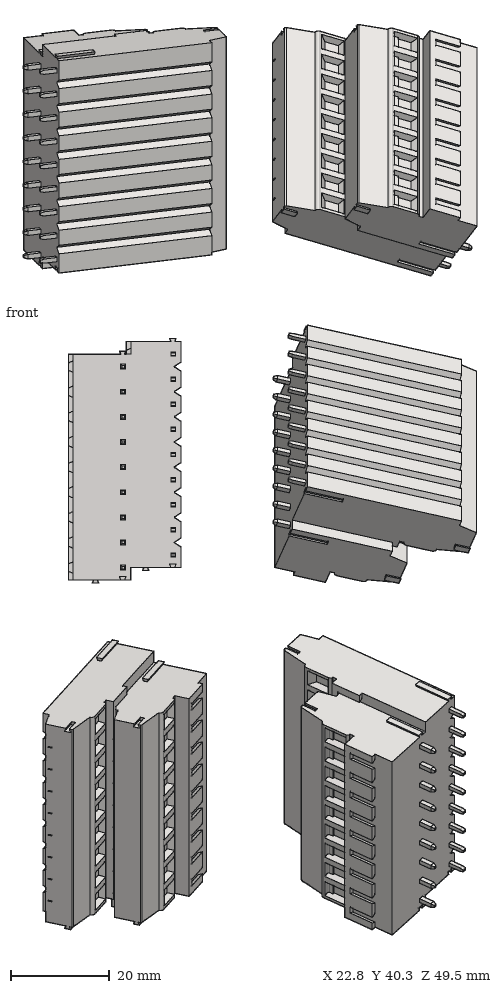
import cadquery as cq
import math


POLES = 9
OVERALL_HEIGHT = 49.45
BLOCK_HEIGHT = 45.7
PITCH = BLOCK_HEIGHT / POLES
ROW_SHIFT_Z = PITCH / 2
RIB_DEPTH = (OVERALL_HEIGHT - BLOCK_HEIGHT - ROW_SHIFT_Z) / 2

REAR_RIGHT_X = 22.8
REAR_TOP_Y = 36.6
ROW_STEP_X = 10.15
ROW_STEP_Y = 11.45
FRONT_RIGHT_X = REAR_RIGHT_X - ROW_STEP_X
FRONT_TOP_Y = REAR_TOP_Y - ROW_STEP_Y

FRONT_PAD_X = 0.0
REAR_PAD_X = 11.65
PAD_THICKNESS = 1.0

SHOULDER_LEFT = 10.15
SHOULDER_TOP_RADIUS = 0.75
SHOULDER_TOP_DOWN = 6.25
SHOULDER_BOTTOM_DOWN = 13.1
UNDERCUT_WIDTH = 0.4
UNDERCUT_DROP = 0.6
UNDERCUT_MID_WIDTH = 0.15
NECK_LEFT = 9.5
CREST_RIGHT = 2.3
CREST_LEFT = 8.1
CREST_BEVEL_WIDTH = 0.2
CREST_BEVEL_HEIGHT = 0.3
PAD_TOP_DOWN = 14.05
PAD_BOTTOM_DOWN = 20.85
BACK_SHELF_WIDTH = 1.4
BACK_SHELF_DOWN = 3.9

POCKET_HALF_HEIGHT = 1.85
POCKET_FLOOR_HALF_HEIGHT = 1.3
POCKET_DEPTH = 1.3
FRONT_POCKET_MOUTH = (12.6, 17.8)
FRONT_POCKET_FLOOR = (13.5, 16.45)
FRONT_LEDGE_END_Y = 17.65
FRONT_LEDGE_FILLET = 0.4
FRONT_LEDGE_DEPTH = 1.0
REAR_POCKET_MOUTH = (24.25, 29.3)
REAR_POCKET_FLOOR = (24.95, 27.95)

PAD_SLOT_TOP_DOWN = 15.4
PAD_SLOT_MOUTH = 1.5
PAD_SLOT_FLOOR = 2.35

DOVETAIL_TIP = 1.35
DOVETAIL_NECK = 0.8
SLOT_DEPTH = 0.75
BASE_RIB_LEFT = 1.7
BASE_RIB_LENGTH = 8.05
TOP_RIB_LEFT = 7.15
TOP_RIB_LENGTH = 3.05

NOTCH_DEPTH = 1.4
NOTCH_WIDTH = 1.85

PIN_LENGTH = 3.5
PIN_TIP_LENGTH = 0.75
PIN_LEFT = 1.6
PIN_ROOT = 1.0
FRONT_PIN = 1.0
REAR_PIN = 0.9
PIN_TIP_SIZE = 0.5

MARK_THICKNESS = 0.1
REAR_MARK_WIDTH = 0.75
REAR_MARK_RISE = 0.2
REAR_MARK_LEFT = 3.35
FRONT_MARK_WIDTH = 0.5
FRONT_MARK_LENGTH = 1.05
FRONT_MARK_LEFT = 2.0
FRONT_MARK_DOWN = 1.25


def pole_heights(bottom_z):
    return [bottom_z + (i + 0.5) * PITCH for i in range(POLES)]


def gap_heights(bottom_z):
    return [bottom_z + i * PITCH for i in range(1, POLES)]


def housing(right_x, top_y, pad_x, bottom_z):
    """Plain block: rounded shoulder and undercut on the left, pad below, shelf on the right."""
    shoulder_x = right_x - SHOULDER_LEFT
    neck_x = right_x - NECK_LEFT
    crest_left_x = right_x - CREST_LEFT
    shelf_x = right_x - BACK_SHELF_WIDTH
    shelf_y = top_y - BACK_SHELF_DOWN
    shoulder_top = top_y - SHOULDER_TOP_DOWN
    shoulder_bottom = top_y - SHOULDER_BOTTOM_DOWN
    pad_top = top_y - PAD_TOP_DOWN
    pad_bottom = top_y - PAD_BOTTOM_DOWN
    base_x = pad_x + PAD_THICKNESS

    top_r = SHOULDER_TOP_RADIUS
    top_sag = top_r * (1 - math.sqrt(0.5))
    return (
        cq.Workplane("XY", origin=(0, 0, bottom_z))
        .moveTo(base_x, 0)
        .lineTo(right_x, 0)
        .lineTo(right_x, shelf_y)
        .lineTo(shelf_x, shelf_y)
        .lineTo(right_x - CREST_RIGHT, top_y)
        .lineTo(crest_left_x, top_y)
        .lineTo(crest_left_x - CREST_BEVEL_WIDTH, top_y - CREST_BEVEL_HEIGHT)
        .lineTo(shoulder_x + top_r, shoulder_top)
        .threePointArc((shoulder_x + top_sag, shoulder_top - top_sag), (shoulder_x, shoulder_top - top_r))
        .lineTo(shoulder_x, shoulder_bottom + UNDERCUT_DROP)
        .threePointArc(
            (shoulder_x + UNDERCUT_MID_WIDTH, shoulder_bottom + UNDERCUT_DROP / 2),
            (shoulder_x + UNDERCUT_WIDTH, shoulder_bottom),
        )
        .lineTo(neck_x, shoulder_bottom)
        .lineTo(neck_x, pad_top)
        .lineTo(pad_x, pad_top)
        .lineTo(pad_x, pad_bottom)
        .lineTo(base_x, pad_bottom)
        .close()
        .extrude(BLOCK_HEIGHT)
    )


def tapered_cut(face_x, depth, mouth, floor):
    """Solid tapering along +X; mouth and floor are (low y, high y, half height)."""
    def section(x, low_y, high_y, half):
        corners = [(low_y, -half), (high_y, -half), (high_y, half), (low_y, half)]
        return cq.Wire.makePolygon([cq.Vector(x, y, z) for y, z in corners], close=True)

    solid = cq.Solid.makeLoft([section(face_x, *mouth), section(face_x + depth, *floor)], True)
    return cq.Workplane("XY").add(solid)


def ledged_pocket(face_x):
    """Front wire pocket: tapers to a ledge, then on to a floor shorter than the ledge."""
    def at_ledge(mouth_size, floor_size):
        return mouth_size + (floor_size - mouth_size) * FRONT_LEDGE_DEPTH / POCKET_DEPTH

    ledge_low_y = at_ledge(FRONT_POCKET_MOUTH[0], FRONT_POCKET_FLOOR[0])
    ledge_half = at_ledge(POCKET_HALF_HEIGHT, POCKET_FLOOR_HALF_HEIGHT)
    upper = tapered_cut(
        face_x,
        FRONT_LEDGE_DEPTH,
        (*FRONT_POCKET_MOUTH, POCKET_HALF_HEIGHT),
        (ledge_low_y, FRONT_LEDGE_END_Y, ledge_half),
    )
    upper = upper.edges("|Z").edges(">X").edges(">Y").fillet(FRONT_LEDGE_FILLET)
    lower = tapered_cut(
        face_x + FRONT_LEDGE_DEPTH,
        POCKET_DEPTH - FRONT_LEDGE_DEPTH,
        (ledge_low_y, FRONT_POCKET_FLOOR[1], ledge_half),
        (*FRONT_POCKET_FLOOR, POCKET_FLOOR_HALF_HEIGHT),
    )
    return upper.union(lower)


def dovetail_bar(narrow, wide, height, length):
    """Bar along +Y from the origin, narrow side on z = 0, wide side on z = height."""
    outline = [(-narrow / 2, 0), (narrow / 2, 0), (wide / 2, height), (-wide / 2, height)]
    return cq.Workplane("XZ").polyline(outline).close().extrude(-length)


def add_end_dovetails(block, right_x, top_y, bottom_z):
    top_z = bottom_z + BLOCK_HEIGHT
    base_at = (right_x - BASE_RIB_LEFT, 0)
    top_at = (right_x - TOP_RIB_LEFT, top_y - TOP_RIB_LENGTH)
    rib = dovetail_bar(DOVETAIL_NECK, DOVETAIL_TIP, RIB_DEPTH, BASE_RIB_LENGTH)
    slot = dovetail_bar(DOVETAIL_NECK, DOVETAIL_TIP, SLOT_DEPTH, BASE_RIB_LENGTH)
    block = block.union(rib.translate((*base_at, top_z)))
    block = block.cut(slot.translate((*base_at, bottom_z)))

    rib = dovetail_bar(DOVETAIL_NECK, DOVETAIL_TIP, -RIB_DEPTH, TOP_RIB_LENGTH)
    slot = dovetail_bar(DOVETAIL_NECK, DOVETAIL_TIP, -SLOT_DEPTH, TOP_RIB_LENGTH)
    block = block.union(rib.translate((*top_at, bottom_z)))
    return block.cut(slot.translate((*top_at, top_z)))


def cut_pad_slots(block, top_y, pad_x, bottom_z):
    """Dovetail slots through the pad, widening inwards and open at its lower edge."""
    low_y = top_y - PAD_BOTTOM_DOWN
    high_y = top_y - PAD_SLOT_TOP_DOWN
    mouth = (low_y, high_y, PAD_SLOT_MOUTH / 2)
    floor = (low_y, high_y, PAD_SLOT_FLOOR / 2)
    slot = tapered_cut(pad_x, PAD_THICKNESS, mouth, floor)
    return cut_at_heights(block, slot, pole_heights(bottom_z))


def pin(size, tip_width):
    """Square pin along -Y from the base face; the tip narrows along Z, and along X to tip_width."""
    shank = PIN_LENGTH - PIN_TIP_LENGTH
    body = cq.Workplane("XZ", origin=(0, PIN_ROOT, 0)).rect(size, size).extrude(PIN_ROOT + shank)
    tip = (
        cq.Workplane("XZ", origin=(0, -shank, 0))
        .rect(size, size)
        .workplane(offset=PIN_TIP_LENGTH)
        .rect(tip_width, PIN_TIP_SIZE)
        .loft()
    )
    return body.union(tip)


def add_at_heights(block, feature, x, heights):
    for z in heights:
        block = block.union(feature.translate((x, 0, z)))
    return block


def cut_at_heights(block, feature, heights):
    for z in heights:
        block = block.cut(feature.translate((0, 0, z)))
    return block


FRONT_Z = 0
front = housing(FRONT_RIGHT_X, FRONT_TOP_Y, FRONT_PAD_X, FRONT_Z)
front = cut_pad_slots(front, FRONT_TOP_Y, FRONT_PAD_X, FRONT_Z)
front_pocket = ledged_pocket(FRONT_RIGHT_X - SHOULDER_LEFT)
front = cut_at_heights(front, front_pocket, pole_heights(FRONT_Z))
front = add_end_dovetails(front, FRONT_RIGHT_X, FRONT_TOP_Y, FRONT_Z)
front_pin = pin(FRONT_PIN, PIN_TIP_SIZE)
front = add_at_heights(front, front_pin, FRONT_RIGHT_X - PIN_LEFT, pole_heights(FRONT_Z))
front_mark = (
    cq.Workplane("XY")
    .box(FRONT_MARK_WIDTH, FRONT_MARK_LENGTH, MARK_THICKNESS)
    .translate((0, FRONT_TOP_Y - FRONT_MARK_DOWN, 0))
)
front = add_at_heights(front, front_mark, FRONT_RIGHT_X - FRONT_MARK_LEFT, gap_heights(FRONT_Z))

REAR_Z = ROW_SHIFT_Z
rear = housing(REAR_RIGHT_X, REAR_TOP_Y, REAR_PAD_X, REAR_Z)
rear = cut_pad_slots(rear, REAR_TOP_Y, REAR_PAD_X, REAR_Z)
rear_pocket = tapered_cut(
    REAR_RIGHT_X - SHOULDER_LEFT,
    POCKET_DEPTH,
    (*REAR_POCKET_MOUTH, POCKET_HALF_HEIGHT),
    (*REAR_POCKET_FLOOR, POCKET_FLOOR_HALF_HEIGHT),
)
rear = cut_at_heights(rear, rear_pocket, pole_heights(REAR_Z))
notch_outline = [
    (REAR_RIGHT_X, -NOTCH_WIDTH / 2),
    (REAR_RIGHT_X - NOTCH_DEPTH, 0),
    (REAR_RIGHT_X, NOTCH_WIDTH / 2),
]
notch = cq.Workplane("XZ").polyline(notch_outline).close().extrude(-REAR_TOP_Y)
rear = cut_at_heights(rear, notch, gap_heights(REAR_Z))
rear = add_end_dovetails(rear, REAR_RIGHT_X, REAR_TOP_Y, REAR_Z)
rear_pin = pin(REAR_PIN, REAR_PIN)
rear = add_at_heights(rear, rear_pin, REAR_RIGHT_X - PIN_LEFT, pole_heights(REAR_Z))
rear_mark = (
    cq.Workplane("XY")
    .box(REAR_MARK_WIDTH, 2 * REAR_MARK_RISE, MARK_THICKNESS)
    .translate((0, REAR_TOP_Y, 0))
)
rear = add_at_heights(rear, rear_mark, REAR_RIGHT_X - REAR_MARK_LEFT, gap_heights(REAR_Z))

result = front.union(rear)